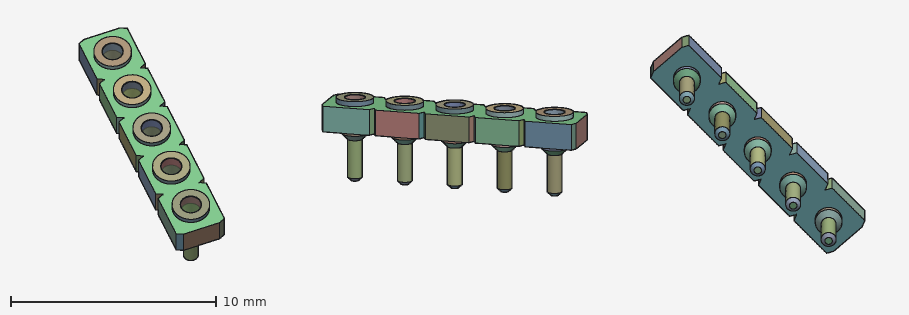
import cadquery as cq

PIN_COUNT = 5
BODY_LENGTH = 12.93
BODY_HEIGHT = 1.29
END_MARGIN = 0.12
PITCH = (BODY_LENGTH - 2 * END_MARGIN) / PIN_COUNT
BODY_WIDTH = PITCH

NOTCH_HALF_WIDTH = 0.15
NOTCH_DEPTH = 0.32

HEAD_DIAMETER = 1.84
HEAD_HEIGHT = 0.25
COLLAR_DIAMETER = 1.32
COLLAR_HEIGHT = 0.27
COLLAR_TAPER = 0.3
TAIL_DIAMETER = 0.74
TIP_DIAMETER = 0.36
TIP_HEIGHT = 0.18
PIN_LENGTH = 4.19

SOCKET_DIAMETER = 1.0
SOCKET_CHAMFER = 0.02
SOCKET_DEPTH = 0.55
FUNNEL_DIAMETER = 0.45
FUNNEL_DEPTH = 0.97
POINT_DEPTH = 0.12
POINT_DIAMETER = 0.05

HEAD_TOP = HEAD_HEIGHT
BODY_BOTTOM = -BODY_HEIGHT
COLLAR_BOTTOM = BODY_BOTTOM - COLLAR_HEIGHT
TAIL_TOP = COLLAR_BOTTOM - COLLAR_TAPER
TIP_BOTTOM = HEAD_TOP - PIN_LENGTH
TAIL_BOTTOM = TIP_BOTTOM + TIP_HEIGHT
FUNNEL_TOP = HEAD_TOP - SOCKET_DEPTH
FUNNEL_BOTTOM = FUNNEL_TOP - FUNNEL_DEPTH
SOCKET_BOTTOM = FUNNEL_BOTTOM - POINT_DEPTH

PIN_POSITIONS = [((i - (PIN_COUNT - 1) / 2) * PITCH, 0) for i in range(PIN_COUNT)]
NOTCH_POSITIONS = [x + PITCH / 2 for x, _ in PIN_POSITIONS[:-1]]


def make_notch_cutter(x, side):
    """Diamond prism whose inner half cuts one V into the long edge at side = +1 or -1."""
    edge = side * BODY_WIDTH / 2
    return (
        cq.Workplane("XY")
        .moveTo(x - NOTCH_HALF_WIDTH, edge)
        .lineTo(x, edge - NOTCH_DEPTH)
        .lineTo(x + NOTCH_HALF_WIDTH, edge)
        .lineTo(x, edge + NOTCH_DEPTH)
        .close()
        .extrude(BODY_BOTTOM)
    )


def make_body():
    """Insulating strip with notched edges and a through hole for each pin."""
    body = cq.Workplane("XY").rect(BODY_LENGTH, BODY_WIDTH).extrude(BODY_BOTTOM)
    cut_positions = [-BODY_LENGTH / 2, *NOTCH_POSITIONS, BODY_LENGTH / 2]
    for x in cut_positions:
        for side in (-1, 1):
            body = body.cut(make_notch_cutter(x, side))
    pin_holes = (
        cq.Workplane("XY")
        .pushPoints(PIN_POSITIONS)
        .circle(COLLAR_DIAMETER / 2)
        .extrude(BODY_BOTTOM)
    )
    return body.cut(pin_holes)


def make_pin(position):
    """Turned contact pin: its half section, socket included, revolved about Z."""
    half_section = [
        (0, SOCKET_BOTTOM),
        (POINT_DIAMETER / 2, SOCKET_BOTTOM),
        (FUNNEL_DIAMETER / 2, FUNNEL_BOTTOM),
        (SOCKET_DIAMETER / 2, FUNNEL_TOP),
        (SOCKET_DIAMETER / 2, HEAD_TOP - SOCKET_CHAMFER),
        (SOCKET_DIAMETER / 2 + SOCKET_CHAMFER, HEAD_TOP),
        (HEAD_DIAMETER / 2, HEAD_TOP),
        (HEAD_DIAMETER / 2, 0),
        (COLLAR_DIAMETER / 2, 0),
        (COLLAR_DIAMETER / 2, COLLAR_BOTTOM),
        (TAIL_DIAMETER / 2, TAIL_TOP),
        (TAIL_DIAMETER / 2, TAIL_BOTTOM),
        (TIP_DIAMETER / 2, TIP_BOTTOM),
        (0, TIP_BOTTOM),
    ]
    pin = cq.Workplane("XZ").polyline(half_section).close().revolve(360, (0, 0), (0, 1))
    return pin.translate((*position, 0))


body = make_body()
pins = [make_pin(position) for position in PIN_POSITIONS]

result = cq.Compound.makeCompound([body.val(), *[pin.val() for pin in pins]])